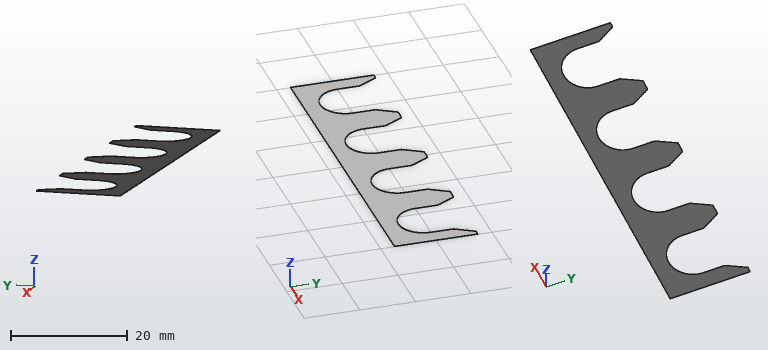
import cadquery as cq

length = 60.0
depth = 15.0
thickness = 0.1

slot_count = 4
slot_width = 9.0
slot_floor = 3.0
mouth_width = 12.95
mouth_start = 11.5

pitch = length / slot_count
slot_radius = slot_width / 2
arc_center = slot_floor + slot_radius


def slot_cutter(center_x):
    """Round-bottomed slot with a flared mouth at the +Y edge."""
    left = center_x - slot_radius
    right = center_x + slot_radius
    return (
        cq.Workplane("XY")
        .moveTo(left, arc_center)
        .threePointArc((center_x, slot_floor), (right, arc_center))
        .lineTo(right, mouth_start)
        .lineTo(center_x + mouth_width / 2, depth)
        .lineTo(center_x - mouth_width / 2, depth)
        .lineTo(left, mouth_start)
        .close()
        .extrude(thickness)
    )


result = cq.Workplane("XY").box(length, depth, thickness, centered=False)

for index in range(slot_count):
    result = result.cut(slot_cutter((index + 0.5) * pitch))